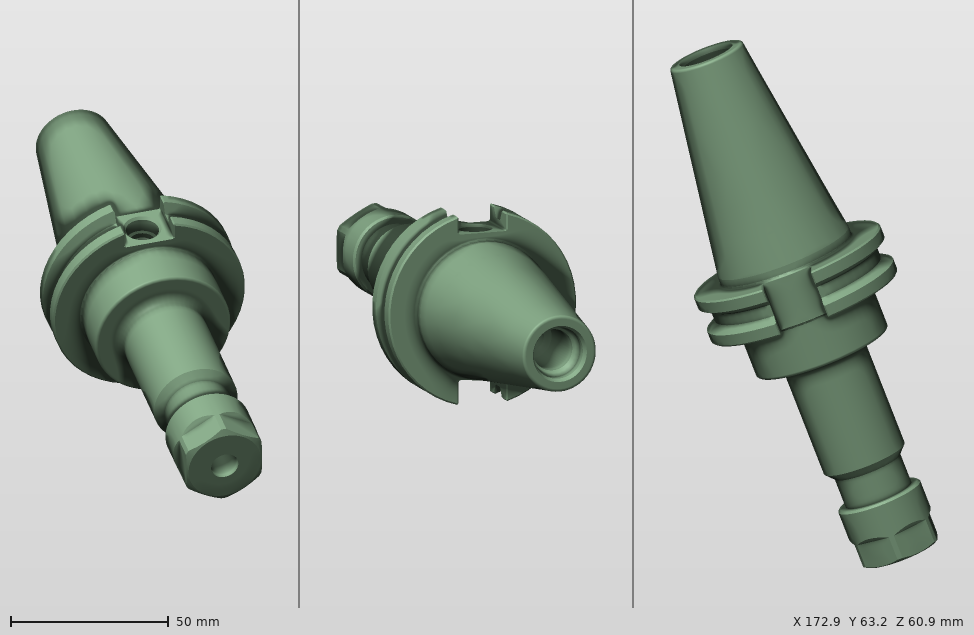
import cadquery as cq
import math

TOTAL_LENGTH = 172.9
TAN_30 = math.tan(math.radians(30))
CUT_CLEARANCE = 1.7

GAUGE_X = 68.3
GAUGE_RADIUS = 44.5 / 2
TAPER_ANGLE = math.atan(7 / 48)
SHANK_SMALL_RADIUS = GAUGE_RADIUS - GAUGE_X * math.tan(TAPER_ANGLE)
EDGE_ROUND = 1.0
SHANK_ROUND_REACH = EDGE_ROUND * math.tan(math.pi / 4 - TAPER_ANGLE / 2)

FLANGE_START = 71.4
FLANGE_WIDTH = 15.9
FLANGE_END = FLANGE_START + FLANGE_WIDTH
FLANGE_RADIUS = 31.6
FLANGE_CHAMFER = 0.5
FLANGE_ROOT_ROUND = 0.9
FLANGE_CENTRE = FLANGE_START + FLANGE_WIDTH / 2
GROOVE_FLOOR_RADIUS = 28.2
GROOVE_FLOOR_WIDTH = 3.8
GROOVE_FLANK_WIDTH = (FLANGE_RADIUS - GROOVE_FLOOR_RADIUS) * TAN_30

SLOT_WIDTH = 16.0
SLOT_EDGE_CHAMFER = 0.43
SLOT_FLOOR_ROUND = 0.5
TOP_SLOT_FLOOR = 24.7
BOTTOM_SLOT_FLOOR = 22.5

SLOT_HOLE_X = FLANGE_CENTRE
SLOT_HOLE_RIM_DIAMETER = 12.1
SLOT_HOLE_DIAMETER = 10.5
SLOT_HOLE_DEPTH = 5.2
SLOT_DRILL_DIAMETER = 8.0
SLOT_DRILL_DEPTH = 7.0

BODY_RADIUS = 22.3
BODY_END = 103.2
STEM_RADIUS = 27.5 / 2
STEM_ROOT_ROUND = 3.0
STEM_END = 140.0
NECK_START = 142.8
NECK_RADIUS = 22.3 / 2
NOSE_RADIUS = 22.0 / 2
NOSE_END = 164.3

MOUTH_RADIUS = 18.2 / 2
PILOT_RADIUS = 8.3
PILOT_START = 1.5
PILOT_END = 4.5
THREAD_RADIUS = 13.3 / 2
THREAD_START = 6.7
THREAD_END = 26.0
BORE_RADIUS = 4.5

COLLET_START = 145.2
COLLET_RADIUS = 8.5
COLLET_HALF_ANGLE = 8.0
COLLET_TAIL_RADIUS = COLLET_RADIUS - (NOSE_END - COLLET_START) * math.tan(math.radians(COLLET_HALF_ANGLE))
COLLET_SHOULDER_X = 169.3
COLLET_FACE_RADIUS = COLLET_RADIUS - (TOTAL_LENGTH - COLLET_SHOULDER_X) * TAN_30

NUT_START = 152.7
NUT_RADIUS = 27.8 / 2
NUT_BACK_CHAMFER = 0.7
NUT_FACE_RADIUS = 12.0
NUT_FRONT_BEVEL_START = TOTAL_LENGTH - (NUT_RADIUS - NUT_FACE_RADIUS) * TAN_30
HEX_ACROSS_FLATS = 24.9
HEX_START = 164.1
HEX_SIDES = 6


def turned(points):
    """Solid of revolution about X from a closed (x, radius) outline."""
    return cq.Workplane("XY").polyline(points).close().revolve(360, (0, 0, 0), (1, 0, 0))


def holder_blank():
    taper_round_end = (
        SHANK_ROUND_REACH * math.cos(TAPER_ANGLE),
        SHANK_SMALL_RADIUS + SHANK_ROUND_REACH * math.sin(TAPER_ANGLE),
    )
    profile = (
        cq.Workplane("XY")
        .moveTo(0, 0)
        .lineTo(0, SHANK_SMALL_RADIUS - SHANK_ROUND_REACH)
        .radiusArc(taper_round_end, EDGE_ROUND)
        .lineTo(GAUGE_X, GAUGE_RADIUS)
        .lineTo(FLANGE_START - FLANGE_ROOT_ROUND, GAUGE_RADIUS)
        .radiusArc((FLANGE_START, GAUGE_RADIUS + FLANGE_ROOT_ROUND), -FLANGE_ROOT_ROUND)
        .lineTo(FLANGE_START, FLANGE_RADIUS - FLANGE_CHAMFER)
        .lineTo(FLANGE_START + FLANGE_CHAMFER, FLANGE_RADIUS)
        .lineTo(FLANGE_END - FLANGE_CHAMFER, FLANGE_RADIUS)
        .lineTo(FLANGE_END, FLANGE_RADIUS - FLANGE_CHAMFER)
        .lineTo(FLANGE_END, BODY_RADIUS + FLANGE_ROOT_ROUND)
        .radiusArc((FLANGE_END + FLANGE_ROOT_ROUND, BODY_RADIUS), -FLANGE_ROOT_ROUND)
        .lineTo(BODY_END - EDGE_ROUND, BODY_RADIUS)
        .radiusArc((BODY_END, BODY_RADIUS - EDGE_ROUND), EDGE_ROUND)
        .lineTo(BODY_END, STEM_RADIUS + STEM_ROOT_ROUND)
        .radiusArc((BODY_END + STEM_ROOT_ROUND, STEM_RADIUS), -STEM_ROOT_ROUND)
        .lineTo(STEM_END, STEM_RADIUS)
        .lineTo(NECK_START, NECK_RADIUS)
        .lineTo(NUT_START, NECK_RADIUS)
        .lineTo(NUT_START, NOSE_RADIUS)
        .lineTo(NOSE_END, NOSE_RADIUS)
        .lineTo(NOSE_END, 0)
        .close()
    )
    return profile.revolve(360, (0, 0, 0), (1, 0, 0))


def gripper_groove():
    half_floor = GROOVE_FLOOR_WIDTH / 2
    half_rim = half_floor + GROOVE_FLANK_WIDTH
    outside = FLANGE_RADIUS + CUT_CLEARANCE
    return turned([
        (FLANGE_CENTRE - half_floor, GROOVE_FLOOR_RADIUS),
        (FLANGE_CENTRE - half_rim, FLANGE_RADIUS),
        (FLANGE_CENTRE - half_rim, outside),
        (FLANGE_CENTRE + half_rim, outside),
        (FLANGE_CENTRE + half_rim, FLANGE_RADIUS),
        (FLANGE_CENTRE + half_floor, GROOVE_FLOOR_RADIUS),
    ])


def holder_bore():
    return turned([
        (0, 0),
        (0, MOUTH_RADIUS),
        (PILOT_START, PILOT_RADIUS),
        (PILOT_END, PILOT_RADIUS),
        (THREAD_START, THREAD_RADIUS),
        (THREAD_END, THREAD_RADIUS),
        (THREAD_END + (THREAD_RADIUS - BORE_RADIUS) * TAN_30, BORE_RADIUS),
        (COLLET_START, BORE_RADIUS),
        (COLLET_START, COLLET_TAIL_RADIUS),
        (NOSE_END, COLLET_RADIUS),
        (NOSE_END, 0),
    ])


def drive_slot(floor):
    """Slot through the flange on the +Z side, flared at its end faces and rim, with rounded floor corners."""
    height = FLANGE_RADIUS + CUT_CLEARANCE - floor
    slot = (
        cq.Workplane("XY", origin=(FLANGE_CENTRE, 0, floor))
        .box(FLANGE_WIDTH, SLOT_WIDTH, height, centered=(True, True, False))
        .edges("|X and <Z")
        .fillet(SLOT_FLOOR_ROUND)
    )
    wide = SLOT_WIDTH / 2 + SLOT_EDGE_CHAMFER
    for end_x, inward in ((FLANGE_START, 1), (FLANGE_END, -1)):
        flare = (
            cq.Workplane("XY", origin=(0, 0, floor + SLOT_FLOOR_ROUND))
            .polyline([
                (end_x, -wide),
                (end_x, wide),
                (end_x + inward * SLOT_EDGE_CHAMFER, SLOT_WIDTH / 2),
                (end_x + inward * SLOT_EDGE_CHAMFER, -SLOT_WIDTH / 2),
            ])
            .close()
            .extrude(height - SLOT_FLOOR_ROUND)
        )
        slot = slot.union(flare)
    rim_z = math.sqrt(FLANGE_RADIUS**2 - wide**2)
    top_z = floor + height
    rim_flare = (
        cq.Workplane("YZ", origin=(FLANGE_START, 0, 0))
        .polyline([
            (-SLOT_WIDTH / 2, rim_z - SLOT_EDGE_CHAMFER),
            (-wide, rim_z),
            (-wide, top_z),
            (wide, top_z),
            (wide, rim_z),
            (SLOT_WIDTH / 2, rim_z - SLOT_EDGE_CHAMFER),
        ])
        .close()
        .extrude(FLANGE_WIDTH)
    )
    return slot.union(rim_flare)


def slot_hole():
    rim_radius = SLOT_HOLE_RIM_DIAMETER / 2
    hole_radius = SLOT_HOLE_DIAMETER / 2
    drill_radius = SLOT_DRILL_DIAMETER / 2
    profile = (
        cq.Workplane("XZ", origin=(SLOT_HOLE_X, 0, TOP_SLOT_FLOOR))
        .polyline([
            (0, 0),
            (rim_radius, 0),
            (hole_radius, hole_radius - rim_radius),
            (hole_radius, -SLOT_HOLE_DEPTH),
            (drill_radius, -SLOT_HOLE_DEPTH),
            (drill_radius, -SLOT_DRILL_DEPTH),
            (0, -SLOT_DRILL_DEPTH - drill_radius * TAN_30),
        ])
        .close()
    )
    return profile.revolve(360, (0, 0, 0), (0, 1, 0))


def make_holder():
    top_slot = drive_slot(TOP_SLOT_FLOOR)
    bottom_slot = drive_slot(BOTTOM_SLOT_FLOOR).rotate((0, 0, 0), (1, 0, 0), 180)
    return (
        holder_blank()
        .cut(gripper_groove())
        .cut(holder_bore())
        .cut(top_slot)
        .cut(bottom_slot)
        .cut(slot_hole())
    )


def make_collet():
    return turned([
        (COLLET_START, BORE_RADIUS),
        (COLLET_START, COLLET_TAIL_RADIUS),
        (NOSE_END, COLLET_RADIUS),
        (COLLET_SHOULDER_X, COLLET_RADIUS),
        (TOTAL_LENGTH, COLLET_FACE_RADIUS),
        (TOTAL_LENGTH, BORE_RADIUS),
    ])


def wrench_flat():
    """Cutter for one wrench flat on the -Y side, running out at 45 degrees toward the back of the nut."""
    flat = HEX_ACROSS_FLATS / 2
    outside = NUT_RADIUS + CUT_CLEARANCE
    return (
        cq.Workplane("XY")
        .polyline([
            (HEX_START, -flat),
            (TOTAL_LENGTH, -flat),
            (TOTAL_LENGTH, -outside),
            (HEX_START - (outside - flat), -outside),
        ])
        .close()
        .extrude(NUT_RADIUS, both=True)
    )


def make_nut():
    nut = turned([
        (NUT_START, NOSE_RADIUS),
        (NUT_START, NUT_RADIUS - NUT_BACK_CHAMFER),
        (NUT_START + NUT_BACK_CHAMFER, NUT_RADIUS),
        (NUT_FRONT_BEVEL_START, NUT_RADIUS),
        (TOTAL_LENGTH, NUT_FACE_RADIUS),
        (TOTAL_LENGTH, COLLET_FACE_RADIUS),
        (COLLET_SHOULDER_X, COLLET_RADIUS),
        (NOSE_END, COLLET_RADIUS),
        (NOSE_END, NOSE_RADIUS),
    ])
    for side in range(HEX_SIDES):
        nut = nut.cut(wrench_flat().rotate((0, 0, 0), (1, 0, 0), side * 360 / HEX_SIDES))
    return nut


holder = make_holder()
collet = make_collet()
nut = make_nut()

result = cq.Compound.makeCompound([holder.val(), collet.val(), nut.val()])